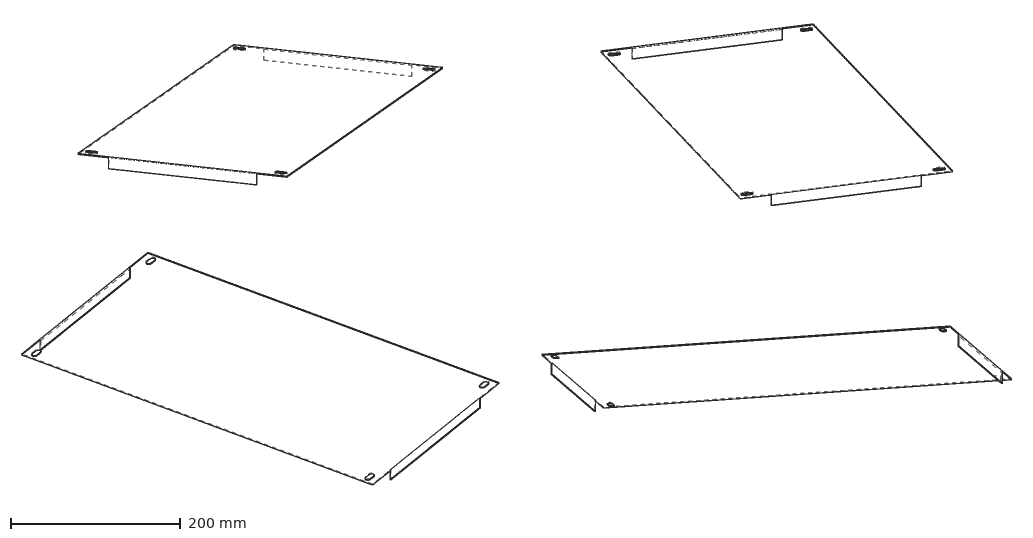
import cadquery as cq

width = 265.0
length = 500.0
height = 15.0
sheet = 1.5

flange_width = 187.5

slot_length = 15.0
slot_width = 7.0
slot_side_gap = 5.0
slot_edge_distance = 12.5


def make_plate():
    return cq.Workplane("XY").box(width, length, sheet, centered=(True, True, False)).translate(
        (0, 0, height - sheet)
    )


def make_flange(side):
    """Flange flush with the short edge on the given Y side (-1 or 1)."""
    flange_y = side * (length - sheet) / 2
    flange = cq.Workplane("XY").box(flange_width, sheet, height, centered=(True, True, False))
    return flange.translate((0, flange_y, 0))


def make_slot(side_x, side_y):
    """Cutter for one corner slot, lying along X."""
    center_x = side_x * (width / 2 - slot_side_gap - slot_length / 2)
    center_y = side_y * (length / 2 - slot_edge_distance)
    return cq.Workplane("XY").center(center_x, center_y).slot2D(slot_length, slot_width).extrude(height)


result = make_plate()
for side_y in (-1, 1):
    result = result.union(make_flange(side_y))
    for side_x in (-1, 1):
        result = result.cut(make_slot(side_x, side_y))